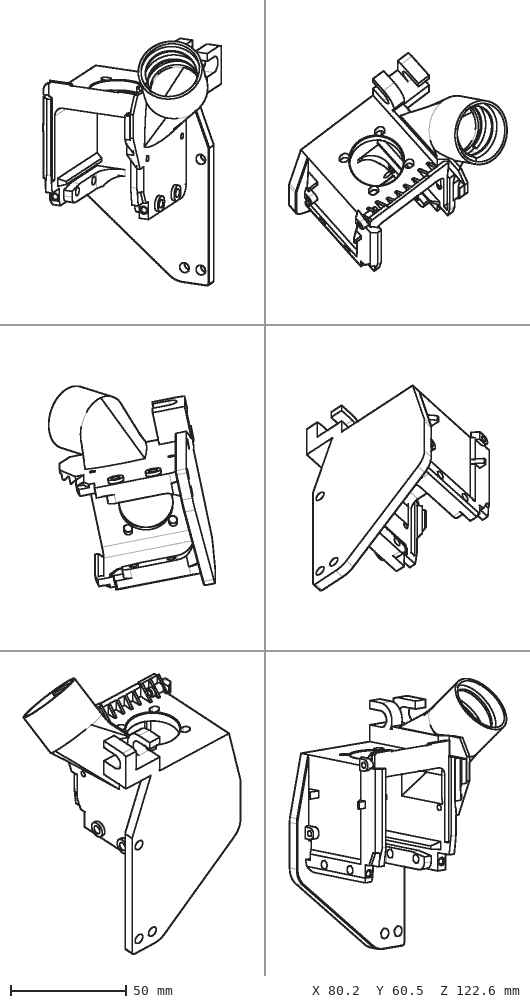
import cadquery as cq
import math


plate_width = 63.5
plate_thick = 4.9
plate_shoulder_z = 63.0
plate_corner_z = 37.1
plate_bottom_x = 47.1
plate_big_round = 9.8
plate_small_round = 1.5
plate_shoulder_round = 9.8
plate_edge_chamfer = 0.4
plate_hole_dia = 4.4
plate_holes = [(59.5, 57.4), (59.5, 6.9), (51.6, 6.9)]

mid_x = 28.8
half_outer = 23.7
half_inner = 19.1
box_top = 91.4
top_thick = 4.7
top_inner_round = 3.9
left_x = mid_x - half_outer
left_inner_x = mid_x - half_inner
right_inner_x = mid_x + half_inner
right_x = mid_x + half_outer
wall_front = -51.4
left_strip_bevel = (2.5, 2.0)
right_strip_bevel = (1.6, 3.8)
strip_step = 1.5
strip_step_top = 54.4
strip_step_back = (-48.0, -45.3)
cover_slot_size = 2.5
cover_slot_bottom = 53.5
wall_thick = right_x - right_inner_x
wall_foot_z = 48.3
wall_taper_z = 56.9
wall_foot_front = -50.1
rail_front = -42.9
rail_bottom = 40.2
rail_bevel = (0.9, 2.3)
heel_round = 4.9
notch_size = (3.9, 2.7)
notch_bottom = 45.5
notch_top = 53.5
panel_depth = 1.6
top_left_x = left_x + panel_depth
panel_front = -38.5

vent_y = -24.9
vent_dia = 23.4
vent_chamfer = 0.4
slot_offset = 9.9
slot_length = 4.5
slot_dia = 3.7

lintel_back = -45.7
lintel_front = -47.4
lintel_top = 98.0
lintel_right_x = 50.7
lintel_chamfer = 0.9
lintel_dip_x = (17.0, 39.8)
lintel_dip_front = 0.4
lintel_dip_back = 1.5
stiffener_thick = 1.1
stiffener_pitch = 4.8
stiffener_first_x = 6.9
long_stiffener = 6.1
short_stiffener = 4.4
stiffener_lengths = [long_stiffener] * 3 + [short_stiffener] * 4 + [long_stiffener] * 2

raised_x = 47.2
raised_top = 100.0
raised_back = -14.2
raised_bend_y = -43.9
flange_x = 50.9
flange_inside_y = -47.1
flange_front = -58.3
flange_slope_y = -53.8
flange_slope_z = 92.4
flange_low_z = 81.7
flange_end_z = 65.6
rib_tips = [(47.5, -54.4, 0.1), (48.3, -57.8, 1.0)]
rib_depth = 3.0

lug_width = 6.0
lug_right_x = 61.0
lug_depth = 14.2
lug_top = 109.5
lug_base_top = 98.8
lug_hole_dia = 7.1
lug_hole_z = lug_base_top + lug_hole_dia / 2
lug_slope_depth = 2.3
lug_slope_drop = 0.7

socket_end = (66.4, -50.4, 112.5)
socket_lean = 0.27
socket_dia = 28.0
socket_length = 19.2
bore_dia = 25.5
bore_depth = 17.2
throat_dia = 22.0
thread_dia = 22.0
thread_pitch = 8.2
thread_turns = 1.85
thread_start = 1.1
thread_start_turn = 3 / 8
thread_root_width = 2.2
thread_crest_width = 1.0
thread_overlap = 0.2
port_outer = [(-17.8, raised_top), (-42.9, raised_top), (-47.1, 68.1), (-17.8, 68.1)]
port_inner = [(-19.6, 86.8), (-45.3, 86.8), (-45.6, 70.1), (-19.6, 70.1)]

pivot_ys = [-16.7, -33.2]
pivot_z = 44.7
pivot_dia = 3.7
pivot_boss_dia = 6.9
pivot_boss_length = 1.5
arm_width = 4.0
arm_top = 47.5
arm_front = -38.6
arm_slope_y = -30.6
arm_tip_top = 46.3
arm_tip_bottom = 43.8
arm_flare = 9.2
arm_heel_z = 44.5
arm_heel_y = -9.8
end_hole_dia = 2.6
end_hole_depth = 6.1
end_hole_rim = 0.5
end_hole_inset = 2.3
end_hole_z = 44.1
guide_width = 2.3
guide_low_z = 49.9
guide_tip_z = 51.2
guide_high_z = 53.4
guide_front = -40.8
guide_point = 3.9
screw_head_dia = 5.1
screw_tip_x = 3.5
screw_ramp = 2.2
screw_hole_dia = 2.5
plate_screw = (-9.0, 57.6)
top_screw = (-43.8, 92.7)
top_screw_dia = 4.4
top_screw_end_x = 13.7
wall_hole_z = 68.3
clip_tip_x = 1.7
clip_low_z = 73.4
clip_high_z = 76.5
clips = [(-4.9, -11.4), (-38.4, -43.0)]
clip_flat = 1.0


def box(x0, x1, y0, y1, z0, z1):
    """Block between two opposite corners."""
    corner = cq.Vector(min(x0, x1), min(y0, y1), min(z0, z1))
    return cq.Workplane(cq.Solid.makeBox(abs(x1 - x0), abs(y1 - y0), abs(z1 - z0), corner))


def prism_x(points, x0, x1):
    """Outline of (y, z) points extruded from x0 to x1."""
    return cq.Workplane("YZ").workplane(offset=x0).polyline(points).close().extrude(x1 - x0)


def prism_z(points, z0, z1):
    """Outline of (x, y) points extruded from z0 to z1."""
    return cq.Workplane("XY").workplane(offset=z0).polyline(points).close().extrude(z1 - z0)


def rod_x(y, z, dia, x0, x1):
    """Cylinder along X."""
    return cq.Workplane("YZ").workplane(offset=x0).center(y, z).circle(dia / 2).extrude(x1 - x0)


def mirrored(shape):
    """The same shape on the other side of the box's middle plane."""
    return shape.mirror("YZ", (mid_x, 0, 0))


def mounting_plate():
    """Back plate with rounded corners, a bevelled front rim and three mounting holes."""
    outline = [
        (0, plate_corner_z),
        (plate_bottom_x, 0),
        (plate_width, 0),
        (plate_width, plate_shoulder_z),
        (right_x, box_top),
        (top_left_x, box_top),
        (0, plate_shoulder_z),
    ]
    plate = cq.Workplane("XZ").polyline(outline).close().extrude(plate_thick)
    rounds = [
        (outline[0], plate_big_round),
        (outline[1], plate_big_round),
        (outline[2], plate_small_round),
        (outline[-1], plate_shoulder_round),
    ]
    for (x, z), radius in rounds:
        corner = cq.selectors.NearestToPointSelector((x, -plate_thick / 2, z))
        plate = plate.edges("|Y").edges(corner).fillet(radius)
    plate = plate.faces("<Y").chamfer(plate_edge_chamfer)
    holes = cq.Workplane("XZ").pushPoints(plate_holes).circle(plate_hole_dia / 2).extrude(plate_thick)
    return plate.cut(holes)


def heel():
    """Waste below the rounded heel where the foot rails meet the plate."""
    back_y = -plate_thick
    round_y = back_y - heel_round
    round_z = rail_bottom + heel_round
    offset = heel_round * math.sqrt(0.5)
    return (
        cq.Workplane("YZ")
        .workplane(offset=left_x)
        .moveTo(back_y, rail_bottom)
        .lineTo(back_y, round_z)
        .threePointArc((round_y + offset, round_z - offset), (round_y, rail_bottom))
        .close()
        .extrude(right_x - left_x)
    )


def side_wall(bevel):
    """Left wall with its front strip and foot rail; bevel is the size of the strip's outer corner."""
    profile = [
        (-plate_thick, box_top),
        (wall_front, box_top),
        (wall_front, wall_taper_z),
        (wall_foot_front, wall_foot_z),
        (rail_front, wall_foot_z),
        (rail_front, rail_bottom),
        (-plate_thick, rail_bottom),
    ]
    wall = prism_x(profile, left_x, left_inner_x)
    dx, dy = bevel
    corner = [(left_x, wall_front), (left_x + dx, wall_front), (left_x, wall_front + dy)]
    upper_back, lower_back = strip_step_back
    step = [
        (upper_back, strip_step_top),
        (wall_front, strip_step_top),
        (wall_front, wall_foot_z),
        (lower_back, wall_foot_z),
    ]
    slot = [
        (left_inner_x, lintel_front),
        (left_inner_x - cover_slot_size, lintel_front),
        (left_inner_x, lintel_front - cover_slot_size),
    ]
    wall = wall.cut(prism_z(corner, wall_foot_z, box_top)).cut(prism_z(slot, cover_slot_bottom, box_top))
    wall = wall.cut(prism_x(step, left_x, left_x + strip_step))
    return wall.cut(heel())


def left_wall():
    """Left wall with bevels under the rail, a recessed outer panel and a notch beside the plate."""
    dx, dz = rail_bevel
    side_bevel = (
        cq.Workplane("XZ")
        .polyline([(left_x, rail_bottom), (left_x + dx, rail_bottom), (left_x, rail_bottom + dz)])
        .close()
        .extrude(-rail_front)
    )
    front_bevel = prism_x(
        [(rail_front, rail_bottom), (rail_front + dx, rail_bottom), (rail_front, rail_bottom + dz)],
        left_x,
        left_inner_x,
    )
    height = box_top - wall_foot_z
    depth = panel_front - panel_depth + plate_thick
    recess = (
        cq.Workplane("YZ")
        .workplane(offset=left_x)
        .center(-plate_thick + depth / 2, wall_foot_z + height / 2)
        .rect(-depth, height)
        .workplane(offset=panel_depth)
        .center(panel_depth / 2, panel_depth / 2)
        .rect(-depth - panel_depth, height - panel_depth)
        .loft(ruled=True)
    )
    notch_x, notch_y = notch_size
    notch = prism_z(
        [
            (left_x, -plate_thick),
            (left_x + notch_x, -plate_thick),
            (left_x, -plate_thick - notch_y),
        ],
        notch_bottom,
        notch_top,
    )
    return side_wall(left_strip_bevel).cut(side_bevel).cut(front_bevel).cut(recess).cut(notch)


def box_cover():
    """Top of the box with rounded inner corners, the round vent and four slots around it."""
    cover = box(top_left_x, right_x, 0, lintel_front, box_top - top_thick, box_top)
    slots = (
        cq.Workplane("XY")
        .workplane(offset=box_top - top_thick)
        .center(mid_x, vent_y)
        .rect(2 * slot_offset, 2 * slot_offset, forConstruction=True)
        .vertices()
        .slot2D(slot_length, slot_dia)
        .extrude(top_thick)
    )
    vent = (
        cq.Workplane("XY")
        .workplane(offset=box_top - top_thick)
        .center(mid_x, vent_y)
        .circle(vent_dia / 2)
        .extrude(top_thick)
    )
    rim = (
        cq.Workplane("XY")
        .workplane(offset=box_top)
        .center(mid_x, vent_y)
        .circle(vent_dia / 2 + vent_chamfer)
        .extrude(-vent_chamfer, taper=45)
    )
    inner_z = box_top - top_thick
    offset = top_inner_round * (1 - math.sqrt(0.5))
    corner = (
        cq.Workplane("XZ")
        .moveTo(left_inner_x, inner_z)
        .lineTo(left_inner_x + top_inner_round, inner_z)
        .threePointArc(
            (left_inner_x + offset, inner_z - offset), (left_inner_x, inner_z - top_inner_round)
        )
        .close()
        .extrude(-lintel_front)
    )
    cover = cover.union(corner).union(mirrored(corner))
    return cover.cut(slots).cut(vent).cut(rim)


def lintel():
    """Upright bar on the front of the cover, dipped in the middle, with triangular stiffeners."""
    bar = box(top_left_x, lintel_right_x, lintel_back, lintel_front, box_top, lintel_top)
    bar = bar.edges("|Y and >Z and <X").chamfer(lintel_chamfer)
    dip = [
        (lintel_front, lintel_top),
        (lintel_front, lintel_top - lintel_dip_front),
        (lintel_back, lintel_top - lintel_dip_back),
        (lintel_back, lintel_top),
    ]
    bar = bar.cut(prism_x(dip, *lintel_dip_x))
    for index, length in enumerate(stiffener_lengths):
        x = stiffener_first_x + index * stiffener_pitch
        low_side, high_side = lintel_dip_x
        top = lintel_top - lintel_dip_back if low_side < x < high_side else lintel_top
        triangle = [(lintel_back, box_top), (lintel_back + length, box_top), (lintel_back, top)]
        bar = bar.union(prism_x(triangle, x - stiffener_thick / 2, x + stiffener_thick / 2))
    return bar


def raised_wall():
    """Upward extension of the right wall, with the thin flange in front of it and two ribs."""
    outline = [
        (raised_x, raised_back),
        (raised_x, raised_bend_y),
        (flange_x, flange_inside_y),
        (right_x, flange_inside_y),
        (right_x, raised_back),
    ]
    wall = prism_z(outline, box_top - top_thick, raised_top)
    flange_profile = [
        (flange_inside_y, raised_top),
        (flange_slope_y, raised_top),
        (flange_front, flange_slope_z),
        (flange_front, flange_low_z),
        (wall_front, flange_end_z),
        (flange_inside_y, flange_end_z),
    ]
    wall = wall.union(prism_x(flange_profile, flange_x, right_x))
    rib_limit = prism_x(flange_profile, right_inner_x - wall_thick, right_x)
    for x, y, flat in rib_tips:
        section = [(x, y + flat), (x, y), (right_x, y), (right_x, y + rib_depth), (flange_x, y + rib_depth)]
        wall = wall.union(prism_z(section, flange_end_z, box_top).intersect(rib_limit))
    return wall


def hinge_lugs():
    """Two hooks on a common base: the left one opens backwards, the right one forwards."""
    hole_y = -lug_depth / 2
    base = box(raised_x, lug_right_x + lug_width, 0, -lug_depth, box_top, lug_base_top)
    hole = rod_x(hole_y, lug_hole_z, lug_hole_dia, raised_x, lug_right_x + lug_width)

    left_end = raised_x + lug_width
    left = box(raised_x, left_end, 0, hole_y, box_top, lug_top)
    left = left.union(rod_x(hole_y, lug_top + hole_y, lug_depth, raised_x, left_end))
    left = left.cut(box(raised_x, left_end, 0, hole_y, lug_base_top, lug_base_top + lug_hole_dia))

    right_end = lug_right_x + lug_width
    right = box(lug_right_x, right_end, 0, -lug_depth, box_top, lug_top)
    slope = [(0, lug_top), (-lug_slope_depth, lug_top), (0, lug_top - lug_slope_drop)]
    right = right.cut(prism_x(slope, lug_right_x, right_end))
    right = right.cut(
        box(lug_right_x, right_end, hole_y, -lug_depth, lug_base_top, lug_base_top + lug_hole_dia)
    )
    return base.union(left).union(right).cut(hole)


socket_axis = cq.Vector(socket_lean, -1, 1).normalized()
across_side = cq.Vector(0, 1, 1).cross(socket_axis).normalized()
across_up = socket_axis.cross(across_side)
mouth_center = cq.Vector(*socket_end)
neck_center = mouth_center - socket_axis * socket_length


def funnel(port, dia):
    """Ruled transition from a four-sided port in the right wall to the round neck of the socket."""
    base = cq.Wire.makePolygon([cq.Vector(right_inner_x, y, z) for y, z in port], close=True)

    def rim(quarter):
        angle = quarter * math.pi / 2
        radial = across_up * math.cos(angle) - across_side * math.sin(angle)
        return neck_center + radial * (dia / 2)

    arcs = [cq.Edge.makeThreePointArc(rim(q), rim(q + 0.5), rim(q + 1)) for q in range(4)]
    return cq.Workplane(cq.Solid.makeLoft([base, cq.Wire.assembleEdges(arcs)], True))


def socket_rod(dia, depth, length):
    """Cylinder on the socket axis, starting at a depth below the mouth."""
    start = mouth_center - socket_axis * depth
    return cq.Workplane(cq.Solid.makeCylinder(dia / 2, length, start, socket_axis * -1))


def socket_bore():
    """Wide bore that steps down to the throat."""
    return socket_rod(bore_dia, 0, bore_depth).union(socket_rod(throat_dia, 0, socket_length))


def socket_thread():
    """Right-handed ridge winding into the bore from near the mouth."""
    root = bore_dia / 2 + thread_overlap
    crest = thread_dia / 2
    half_root = thread_root_width / 2
    half_crest = thread_crest_width / 2
    path = cq.Wire.makeHelix(thread_pitch, thread_pitch * thread_turns, root)
    ridge = (
        cq.Workplane("XZ")
        .polyline([(root, -half_root), (crest, -half_crest), (crest, half_crest), (root, half_root)])
        .close()
        .sweep(cq.Workplane(path), isFrenet=True)
    )
    angle = thread_start_turn * 2 * math.pi
    start_side = across_up * math.cos(angle) - across_side * math.sin(angle)
    start = mouth_center - socket_axis * thread_start
    return cq.Workplane(ridge.val().moved(cq.Plane(start, start_side, socket_axis * -1).location))


def arm():
    """Left arm beside the foot rail, flared where it meets the plate."""
    inner_x = left_inner_x + arm_width
    flare_x = inner_x + arm_flare
    flare_y = -plate_thick - arm_flare
    offset = arm_flare * (1 - math.sqrt(0.5))
    body = (
        cq.Workplane("XY")
        .workplane(offset=rail_bottom)
        .moveTo(left_inner_x, -plate_thick)
        .lineTo(flare_x, -plate_thick)
        .threePointArc((inner_x + offset, -plate_thick - offset), (inner_x, flare_y))
        .lineTo(inner_x, arm_front)
        .lineTo(left_inner_x, arm_front)
        .close()
        .extrude(arm_top - rail_bottom)
    )
    tip_round = arm_tip_bottom - rail_bottom
    body = body.edges("|X and <Y and <Z").fillet(tip_round)
    arm_heel = [(-plate_thick, arm_heel_z), (arm_heel_y, rail_bottom), (-plate_thick, rail_bottom)]
    slope = [(arm_slope_y, arm_top), (arm_front, arm_top), (arm_front, arm_tip_top)]
    return body.cut(prism_x(slope, left_inner_x, inner_x)).cut(prism_x(arm_heel, left_inner_x, flare_x))


def guide():
    """Left inner guide with a sloped top and a pointed front end."""
    tip_x = left_inner_x + guide_width
    plan = [
        (left_inner_x, -plate_thick),
        (tip_x, -plate_thick),
        (tip_x, guide_front),
        (left_inner_x, guide_front - guide_point),
    ]
    section = (
        cq.Workplane("XZ")
        .polyline(
            [
                (left_inner_x, guide_low_z),
                (tip_x, guide_low_z),
                (tip_x, guide_tip_z),
                (left_inner_x, guide_high_z),
            ]
        )
        .close()
        .extrude(-wall_front)
    )
    return prism_z(plan, guide_low_z, guide_high_z).intersect(section)


def screw_head(y, z):
    """Round head standing out of the left wall, with a ramp behind it."""
    radius = screw_head_dia / 2
    ramp = [
        (top_left_x, y),
        (screw_tip_x, y),
        (screw_tip_x, y + radius),
        (top_left_x, y + radius + screw_ramp),
    ]
    head = rod_x(y, z, screw_head_dia, screw_tip_x, top_left_x)
    return head.union(prism_z(ramp, z - radius, z + radius))


def outer_fittings():
    """Screw heads and snap clips on the left wall."""
    fittings = screw_head(*plate_screw)
    fittings = fittings.cut(rod_x(*plate_screw, screw_hole_dia, screw_tip_x, top_left_x))

    upper = screw_head(*top_screw)
    upper = upper.union(rod_x(*top_screw, top_screw_dia, top_left_x, top_screw_end_x))
    upper = upper.cut(rod_x(*top_screw, screw_hole_dia, screw_tip_x, top_screw_end_x))
    fittings = fittings.union(upper)

    for back_y, front_y in clips:
        section = [
            (top_left_x, back_y),
            (top_left_x, front_y),
            (clip_tip_x, front_y),
            (clip_tip_x, front_y + clip_flat),
        ]
        fittings = fittings.union(prism_z(section, clip_low_z, clip_high_z))
    return fittings


def pivot_bosses():
    """Round pads around the pivot holes on the outer face of the right wall."""
    bosses = cq.Workplane("YZ").workplane(offset=right_x).pushPoints([(y, pivot_z) for y in pivot_ys])
    return bosses.circle(pivot_boss_dia / 2).extrude(pivot_boss_length)


def small_holes():
    """Pivot holes across the box, screw holes in the rail ends and in the right wall."""
    holes = cq.Workplane("XY")
    for y in pivot_ys:
        holes = holes.add(rod_x(y, pivot_z, pivot_dia, left_x, right_x + pivot_boss_length))
    for x in (left_x + end_hole_inset, right_x - end_hole_inset):
        start = cq.Vector(x, rail_front, end_hole_z)
        inward = cq.Vector(0, 1, 0)
        radius = end_hole_dia / 2
        holes = holes.add(cq.Solid.makeCone(radius + end_hole_rim, radius, end_hole_rim, start, inward))
        holes = holes.add(cq.Solid.makeCylinder(radius, end_hole_depth, start, inward))
    for y in (plate_screw[0], top_screw[0]):
        holes = holes.add(rod_x(y, wall_hole_z, screw_hole_dia, right_inner_x, right_x))
    return holes


result = (
    mounting_plate()
    .union(left_wall())
    .union(mirrored(side_wall(right_strip_bevel)))
    .union(box_cover())
    .union(lintel())
    .union(raised_wall())
    .union(funnel(port_outer, socket_dia))
    .union(socket_rod(socket_dia, 0, socket_length))
    .cut(funnel(port_inner, throat_dia))
    .cut(socket_bore())
    .union(socket_thread())
    .union(hinge_lugs())
    .union(arm())
    .union(mirrored(arm()))
    .union(guide())
    .union(mirrored(guide()))
    .union(outer_fittings())
    .union(pivot_bosses())
)
for hole in small_holes().vals():
    result = result.cut(cq.Workplane(hole))